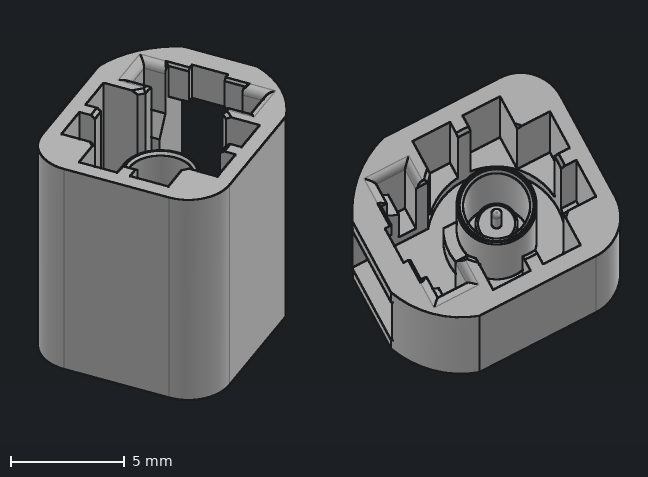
import cadquery as cq

HEIGHT = 10.75
WIDTH = 9.1
HALF_WIDTH = WIDTH / 2
FRONT_Y = -4.55
LENGTH = 10.75
BACK_Y = FRONT_Y + LENGTH
FRONT_CORNER_RADIUS = 2.0
BACK_FLAT_HALF = 1.8
BACK_ARC_START_Y = 3.25
BACK_ARC_MID_X = 3.35
BACK_ARC_MID_Y = 5.19

BORE_FLOOR = 1.77
BORE_RADIUS = 3.05
CHANNEL_HALF = 1.87
CHANNEL_BACK_Y = 4.75
LEAD_IN_DEPTH = 0.15
BORE_LEAD_IN = 0.19
CHANNEL_SIDE_LEAD_IN = 0.15
CHANNEL_BACK_LEAD_IN = 0.1

GROOVE_HALF = 0.87
GROOVE_BACK_Y = 5.08
WINDOW_TOP = 8.95

SLOT_FLOOR = 3.0
SLOT_OUTER = 3.8
SLOT_SIDE = 2.17
SLOT_WEB_HALF = 0.31

POCKET_HALF = 2.9
POCKET_FRONT_Y = 3.02
POCKET_BACK_Y = 4.45
POCKET_DEEP_BACK_Y = 3.86
POCKET_SLOPE_TOP = 8.23
POCKET_SLOPE_BOTTOM = 7.21
POCKET_FLOOR = SLOT_FLOOR
POCKET_ROUNDING = 0.4

SHELL_TOP = 8.47
SHELL_RADIUS = 1.76
SHELL_BORE_RADIUS = 1.47
SHELL_OUTER_CHAMFER = 0.09
SHELL_INNER_CHAMFER = 0.15
INSULATOR_TOP = 5.0
INSULATOR_RADIUS = 0.92
INSULATOR_CHAMFER = 0.11
PIN_TOP = 7.0
PIN_RADIUS = 0.23
PIN_ROUNDING = 0.19
KEY_TOP = 4.0
KEY_RADIUS = 2.34
KEY_HALF = 1.1


def block(x_range, y_range, z_range):
    """Axis-aligned box given by its lower and upper limits."""
    sizes = [high - low for low, high in (x_range, y_range, z_range)]
    return cq.Workplane("XY").box(*sizes, centered=False).translate((x_range[0], y_range[0], z_range[0]))


def disc(radius, bottom, top):
    """Cylinder on the coaxial axis."""
    return cq.Workplane("XY").workplane(offset=bottom).circle(radius).extrude(top - bottom)


def housing():
    """Outer body: rounded front corners, broad arcs meeting a flat at the back."""
    body = (
        cq.Workplane("XY")
        .moveTo(-HALF_WIDTH, FRONT_Y)
        .lineTo(HALF_WIDTH, FRONT_Y)
        .lineTo(HALF_WIDTH, BACK_ARC_START_Y)
        .threePointArc((BACK_ARC_MID_X, BACK_ARC_MID_Y), (BACK_FLAT_HALF, BACK_Y))
        .lineTo(-BACK_FLAT_HALF, BACK_Y)
        .threePointArc((-BACK_ARC_MID_X, BACK_ARC_MID_Y), (-HALF_WIDTH, BACK_ARC_START_Y))
        .close()
        .extrude(HEIGHT)
    )
    return body.edges("|Z").edges("<Y").fillet(FRONT_CORNER_RADIUS)


def latch_pocket():
    """Pocket whose back wall slopes inward below the mouth."""
    return (
        cq.Workplane("YZ")
        .polyline([
            (POCKET_FRONT_Y, HEIGHT),
            (POCKET_BACK_Y, HEIGHT),
            (POCKET_BACK_Y, POCKET_SLOPE_TOP),
            (POCKET_DEEP_BACK_Y, POCKET_SLOPE_BOTTOM),
            (POCKET_DEEP_BACK_Y, POCKET_FLOOR),
            (POCKET_FRONT_Y, POCKET_FLOOR),
        ])
        .close()
        .extrude(POCKET_HALF, both=True)
    )


def bore():
    """Round bore plus channel, both widening at the mouth."""
    channel = block((-CHANNEL_HALF, CHANNEL_HALF), (0, CHANNEL_BACK_Y), (BORE_FLOOR, HEIGHT))
    round_mouth = (
        cq.Workplane("XY")
        .workplane(offset=HEIGHT)
        .circle(BORE_RADIUS + BORE_LEAD_IN)
        .workplane(offset=-LEAD_IN_DEPTH)
        .circle(BORE_RADIUS)
        .loft()
    )
    channel_mouth = (
        cq.Workplane("XY")
        .workplane(offset=HEIGHT)
        .center(0, CHANNEL_BACK_Y / 2)
        .rect(2 * (CHANNEL_HALF + CHANNEL_SIDE_LEAD_IN), CHANNEL_BACK_Y + 2 * CHANNEL_BACK_LEAD_IN)
        .workplane(offset=-LEAD_IN_DEPTH)
        .rect(2 * CHANNEL_HALF, CHANNEL_BACK_Y)
        .loft()
    )
    return disc(BORE_RADIUS, BORE_FLOOR, HEIGHT).union(channel).union(round_mouth).union(channel_mouth)


def coding_slots():
    """Pairs of slots on the right, front and left, split by a narrow web."""
    slots = cq.Workplane("XY")
    for angle in (0, -90, 180):
        for low, high in ((-SLOT_SIDE, -SLOT_WEB_HALF), (SLOT_WEB_HALF, SLOT_SIDE)):
            slot = block((BORE_RADIUS / 2, SLOT_OUTER), (low, high), (SLOT_FLOOR, HEIGHT))
            slots = slots.add(slot.rotate((0, 0, 0), (0, 0, 1), angle))
    return slots.combine()


def back_openings():
    """Groove down the back of the channel, and the window through the back wall."""
    groove = block((-GROOVE_HALF, GROOVE_HALF), (0, GROOVE_BACK_Y), (BORE_FLOOR, HEIGHT))
    window = block((-CHANNEL_HALF, CHANNEL_HALF), (0, BACK_Y), (BORE_FLOOR, WINDOW_TOP))
    return groove.union(window)


def coaxial_contact():
    """Shell, insulator, pin and key, all standing on the bore floor."""
    shell_bore = disc(SHELL_BORE_RADIUS, BORE_FLOOR, SHELL_TOP).union(
        cq.Workplane("XY")
        .workplane(offset=SHELL_TOP)
        .circle(SHELL_BORE_RADIUS + SHELL_INNER_CHAMFER)
        .workplane(offset=-SHELL_INNER_CHAMFER)
        .circle(SHELL_BORE_RADIUS)
        .loft()
    )
    shell = disc(SHELL_RADIUS, BORE_FLOOR, SHELL_TOP).faces(">Z").chamfer(SHELL_OUTER_CHAMFER)
    shell = shell.cut(shell_bore)
    insulator = disc(INSULATOR_RADIUS, BORE_FLOOR, INSULATOR_TOP).faces(">Z").chamfer(INSULATOR_CHAMFER)
    pin = disc(PIN_RADIUS, BORE_FLOOR, PIN_TOP).faces(">Z").edges().fillet(PIN_ROUNDING)
    key = (
        disc(KEY_RADIUS, BORE_FLOOR, KEY_TOP)
        .intersect(block((-KEY_HALF, KEY_HALF), (0, KEY_RADIUS), (BORE_FLOOR, KEY_TOP)))
        .cut(disc(SHELL_RADIUS, BORE_FLOOR, KEY_TOP))
    )
    return shell.union(key).union(insulator).union(pin)


def pocket_mouth():
    """Selects the edges around the pocket where it meets the top face."""
    margin = POCKET_ROUNDING / 2
    return cq.selectors.BoxSelector(
        (-POCKET_HALF - margin, POCKET_FRONT_Y - margin, HEIGHT - margin),
        (POCKET_HALF + margin, POCKET_BACK_Y + margin, HEIGHT + margin),
    )


result = housing().cut(latch_pocket())
result = result.faces(">Z").edges(pocket_mouth()).fillet(POCKET_ROUNDING)
result = result.cut(bore()).cut(coding_slots()).cut(back_openings())
result = result.union(coaxial_contact())